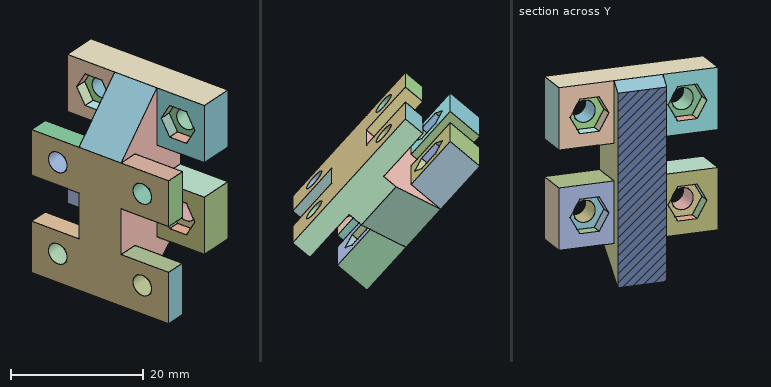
import cadquery as cq
import math

width = 26.0
depth = 15.0
height = 34.0

web_width = 8.0
top_slope_start = 25.0
bottom_slope_end = 8.0
front_foot_depth = 6.0

front_bar_thickness = 3.5
back_bar_thickness = 6.0
back_bar_height = 10.0
front_lower_height = 9.0
front_upper_height = 8.0

hole_diameter = 3.5
hole_spacing_x = 16.0
hole_pitch_z = 8.0
nut_across_flats = 5.5
nut_pocket_depth = 2.0

back_bar_front = depth - back_bar_thickness
nut_across_corners = nut_across_flats / math.cos(math.pi / 6)
lowest_hole_z = (height - 3 * hole_pitch_z) / 2
hole_heights = [lowest_hole_z + row * hole_pitch_z for row in range(4)]
nut_heights = hole_heights[1::2]


def cross_bar(front_y, thickness, bottom_z, bar_height):
    """Full-width bar centred on X."""
    bar = cq.Workplane("XY").box(width, thickness, bar_height, centered=(True, False, False))
    return bar.translate((0, front_y, bottom_z))


def web():
    """Central web with its sloped top and bottom."""
    profile = [
        (0, 0),
        (front_foot_depth, 0),
        (depth, bottom_slope_end),
        (depth, height),
        (back_bar_front, height),
        (0, top_slope_start),
    ]
    return cq.Workplane("YZ").polyline(profile).close().extrude(web_width / 2, both=True)


def at_both_sides(heights, start_y):
    """Mirrored pairs of points on an upright plane facing the front."""
    points = [(side * hole_spacing_x / 2, z) for side in (-1, 1) for z in heights]
    return cq.Workplane("XZ", origin=(0, start_y, 0)).pushPoints(points)


bolt_holes = at_both_sides(hole_heights, 0).circle(hole_diameter / 2).extrude(-depth)
nut_outlines = at_both_sides(nut_heights, back_bar_front).polygon(6, nut_across_corners)
nut_pockets = nut_outlines.extrude(-nut_pocket_depth)

front_upper_bottom = top_slope_start - front_upper_height
result = (
    web()
    .union(cross_bar(0, front_bar_thickness, 0, front_lower_height))
    .union(cross_bar(0, front_bar_thickness, front_upper_bottom, front_upper_height))
    .union(cross_bar(back_bar_front, back_bar_thickness, bottom_slope_end, back_bar_height))
    .union(cross_bar(back_bar_front, back_bar_thickness, height - back_bar_height, back_bar_height))
    .cut(bolt_holes)
    .cut(nut_pockets)
)